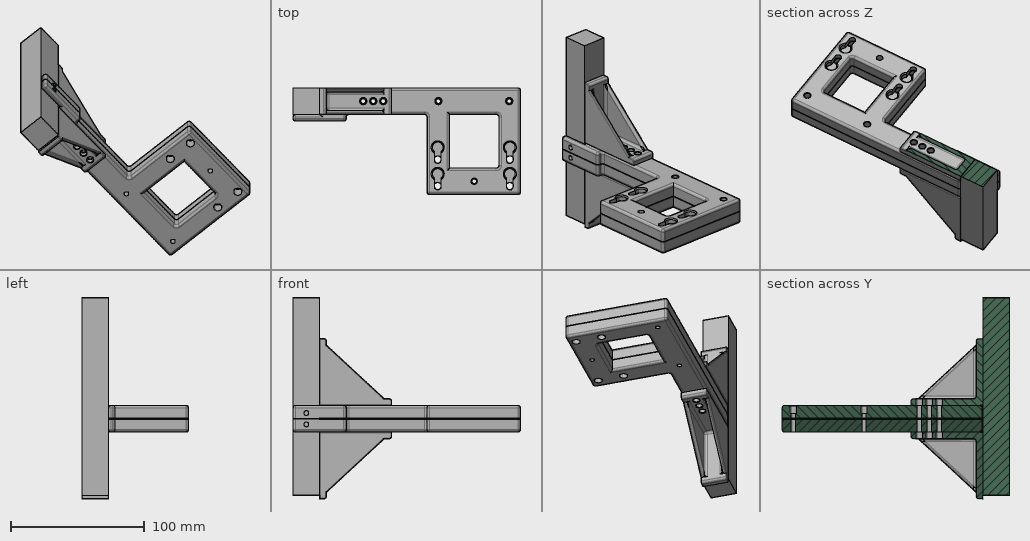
import cadquery as cq
import math

POST_SIDE = 20.0
POST_HEIGHT = 148.0
POST_BOTTOM = -57.3

ARM_WIDTH = POST_SIDE
ARM_CENTER_Y = -ARM_WIDTH / 2
ARM_LENGTH = 150.0
BRACKET_END = 170.34
ARM_START = BRACKET_END - ARM_LENGTH
HALF_THICKNESS = 10.0
EDGE_RADIUS = 2.0
PLATE_LENGTH = 40.0
PLATE_THICKNESS = 5.0
PLATE_HOLE_DIAMETER = 3.6
PLATE_HOLE_HEIGHT = 4.25
FRAME_WIDTH = 70.0
FRAME_DEPTH = 80.0
SPLIT_GAP = 0.4
FRAME_START = BRACKET_END - FRAME_WIDTH
FRAME_CENTER = BRACKET_END - FRAME_WIDTH / 2

WINDOW_START = FRAME_START + 17.0
WINDOW_WIDTH = 36.8
WINDOW_DEPTH = 40.0

SCREW_DIAMETER = 3.4
INSERT_DIAMETER = 4.7
INSERT_DEPTH = 6.0
INSERT_LEAD_IN = 0.35
REAR_SCREW_SPACING = 53.0
FRONT_SCREW_OFFSET = 0.3
FRONT_SCREW_Y = -70.0
FRONT_SCREW_POINT = (FRAME_CENTER + FRONT_SCREW_OFFSET, FRONT_SCREW_Y)

KEYHOLE_SPACING = 54.0
KEYHOLE_ROWS = (-44.6, -64.5)
KEYHOLE_HEAD_DIAMETER = 8.0
KEYHOLE_SLOT_WIDTH = 4.7
KEYHOLE_TRAVEL = 9.45
KEYHOLE_DEPTH = 4.5
KEYHOLE_CHAMFER = 0.9
KEYHOLE_ACCESS_DIAMETER = 6.0

GUSSET_HEIGHT = 50.0
GUSSET_LENGTH = 53.9
GUSSET_LEG = 5.0
GUSSET_SIDE = 3.0
GUSSET_SLOPE_START = 45.1
GUSSET_SLOPE_END = 48.3
GUSSET_INNER_RADIUS = 2.0
GUSSET_OUTER_RADIUS = 0.5
GUSSET_SCREW_DIAMETER = 3.6
GUSSET_SCREW_START = 52.6
GUSSET_SCREW_PITCH = 7.5
GUSSET_SCREW_COUNT = 3


def drill(diameter, bottom, top, points):
    """Vertical cylinders at the given points, for cutting."""
    return (
        cq.Workplane("XY", origin=(0, 0, bottom))
        .pushPoints(points)
        .circle(diameter / 2)
        .extrude(top - bottom)
    )


def countersink(diameter, top, depth, points):
    """Cones that widen by 45 degrees up to the given top, for cutting."""
    return (
        cq.Workplane("XY", origin=(0, 0, top))
        .pushPoints(points)
        .circle(diameter / 2 + depth)
        .extrude(-depth, taper=45)
    )


def insert_holes(bottom, top, points):
    """Insert holes with a chamfered mouth."""
    bore = drill(INSERT_DIAMETER, bottom, top, points)
    return bore.union(countersink(INSERT_DIAMETER, top, INSERT_LEAD_IN, points))


def keyhole(x, y):
    """Keyhole pocket in the top face, with an access hole below the end of its slot."""
    floor = HALF_THICKNESS - KEYHOLE_DEPTH
    end_y = y - KEYHOLE_TRAVEL
    head = drill(KEYHOLE_HEAD_DIAMETER, floor, HALF_THICKNESS, [(x, y)])
    mouth = countersink(KEYHOLE_HEAD_DIAMETER, HALF_THICKNESS, KEYHOLE_CHAMFER, [(x, y)])
    slot = (
        cq.Workplane("XY", origin=(x, (y + end_y) / 2, floor))
        .rect(KEYHOLE_SLOT_WIDTH, KEYHOLE_TRAVEL)
        .extrude(KEYHOLE_DEPTH)
    )
    slot_end = drill(KEYHOLE_SLOT_WIDTH, floor, HALF_THICKNESS, [(x, end_y)])
    access = drill(KEYHOLE_ACCESS_DIAMETER, 0, floor, [(x, end_y)])
    return head.union(mouth).union(slot).union(slot_end).union(access)


def bracket_blank():
    """Half of the bracket with its rounded edges and window; the corner behind the plate is sharp."""
    plate_front = -ARM_WIDTH - PLATE_THICKNESS
    outline = [
        (ARM_START, 0),
        (BRACKET_END, 0),
        (BRACKET_END, -FRAME_DEPTH),
        (FRAME_START, -FRAME_DEPTH),
        (FRAME_START, -ARM_WIDTH),
        (PLATE_LENGTH, -ARM_WIDTH),
        (PLATE_LENGTH, plate_front),
        (0, plate_front),
        (0, -ARM_WIDTH),
        (ARM_START, -ARM_WIDTH),
    ]
    sharp_corner = cq.NearestToPointSelector((ARM_START, -ARM_WIDTH, HALF_THICKNESS / 2))
    body = cq.Workplane("XY", origin=(0, 0, SPLIT_GAP / 2)).polyline(outline).close()
    body = body.extrude(HALF_THICKNESS - SPLIT_GAP / 2)
    upright_edges = cq.StringSyntaxSelector("|Z")
    body = body.edges(upright_edges - sharp_corner).fillet(EDGE_RADIUS)
    window = (
        cq.Workplane("XY", origin=(WINDOW_START, -ARM_WIDTH, 0))
        .rect(WINDOW_WIDTH, -WINDOW_DEPTH, centered=False)
        .extrude(HALF_THICKNESS)
        .edges("|Z and >X")
        .fillet(EDGE_RADIUS)
    )
    return body.cut(window).faces(">Z").edges().fillet(EDGE_RADIUS)


def plate_hole():
    """Screw hole through the clamp plate, in line with the middle of the post."""
    return (
        cq.Workplane("XZ", origin=(POST_SIDE / 2, -ARM_WIDTH, PLATE_HOLE_HEIGHT))
        .circle(PLATE_HOLE_DIAMETER / 2)
        .extrude(PLATE_THICKNESS)
    )


def rear_screw_points():
    """Pair of screws behind the window, on the centre line of the arm."""
    offset = REAR_SCREW_SPACING / 2
    return [(FRAME_CENTER + side * offset, ARM_CENTER_Y) for side in (-1, 1)]


def keyhole_points():
    """Centres of the keyhole heads."""
    offset = KEYHOLE_SPACING / 2
    return [(FRAME_CENTER + side * offset, y) for side in (-1, 1) for y in KEYHOLE_ROWS]


def gusset_screw_points():
    """Row of screws that passes through the arm and both gussets."""
    return [
        (GUSSET_SCREW_START + index * GUSSET_SCREW_PITCH, ARM_CENTER_Y)
        for index in range(GUSSET_SCREW_COUNT)
    ]


def drilled_half():
    """Half of the bracket with the holes that both halves share, built above the split."""
    screw_points = rear_screw_points() + [FRONT_SCREW_POINT]
    half = bracket_blank().cut(plate_hole())
    half = half.cut(drill(GUSSET_SCREW_DIAMETER, 0, HALF_THICKNESS, gusset_screw_points()))
    return half.cut(drill(SCREW_DIAMETER, 0, HALF_THICKNESS, screw_points))


def bracket_upper_half():
    """Upper half, with insert holes and keyholes in its top face."""
    insert_bottom = HALF_THICKNESS - INSERT_DEPTH
    half = drilled_half()
    half = half.cut(insert_holes(insert_bottom, HALF_THICKNESS, rear_screw_points()))
    half = half.cut(drill(INSERT_DIAMETER, insert_bottom, HALF_THICKNESS, [FRONT_SCREW_POINT]))
    for x, y in keyhole_points():
        half = half.cut(keyhole(x, y))
    return half


def bracket_lower_half():
    """Lower half, below the split, with the access holes running on through it."""
    access_points = [(x, y - KEYHOLE_TRAVEL) for x, y in keyhole_points()]
    half = drilled_half()
    half = half.cut(drill(KEYHOLE_ACCESS_DIAMETER, 0, HALF_THICKNESS, access_points))
    return half.mirror("XY")


def slope_rounding():
    """Material to cut away to round the inner edge of the rear side wall along its slope."""
    run = GUSSET_SLOPE_END - GUSSET_LEG
    drop = GUSSET_SLOPE_START - GUSSET_LEG
    along_slope = cq.Plane(
        origin=(POST_SIDE + GUSSET_LEG, 0, HALF_THICKNESS + GUSSET_SLOPE_START),
        xDir=(0, -1, 0),
        normal=(run, 0, -drop),
    )
    radius = GUSSET_INNER_RADIUS
    middle = radius * (1 - math.sqrt(0.5))
    round_start = GUSSET_SIDE - radius
    corner = (
        cq.Workplane(along_slope)
        .moveTo(round_start, 0)
        .lineTo(GUSSET_SIDE, 0)
        .lineTo(GUSSET_SIDE, radius)
        .threePointArc((GUSSET_SIDE - middle, middle), (round_start, 0))
        .close()
        .extrude(math.hypot(run, drop))
    )
    between_legs = (
        cq.Workplane("XY", origin=(POST_SIDE + GUSSET_LEG, 0, HALF_THICKNESS + GUSSET_LEG))
        .rect(GUSSET_LENGTH, -ARM_WIDTH, centered=False)
        .extrude(GUSSET_HEIGHT)
    )
    return corner.intersect(between_legs)


def gusset():
    """Gusset above the arm: post leg, arm leg and two sloping side walls."""
    profile = [
        (0, 0),
        (GUSSET_LENGTH, 0),
        (GUSSET_LENGTH, GUSSET_LEG),
        (GUSSET_SLOPE_END, GUSSET_LEG),
        (GUSSET_LEG, GUSSET_SLOPE_START),
        (GUSSET_LEG, GUSSET_HEIGHT),
        (0, GUSSET_HEIGHT),
    ]
    origin = (POST_SIDE, 0, HALF_THICKNESS)
    inner_width = ARM_WIDTH - 2 * GUSSET_SIDE
    body = cq.Workplane("XZ", origin=origin).polyline(profile).close().extrude(ARM_WIDTH)
    body = body.edges("(|Y and (>Z or >X)) and (not <X) and (not <Z)").fillet(EDGE_RADIUS)
    pocket = (
        cq.Workplane("XY", origin=(POST_SIDE + GUSSET_LEG, -GUSSET_SIDE, HALF_THICKNESS + GUSSET_LEG))
        .rect(2 * GUSSET_LENGTH, -inner_width, centered=False)
        .extrude(2 * GUSSET_HEIGHT)
        .edges("<Z or (|Z and <X)")
        .fillet(GUSSET_INNER_RADIUS)
    )
    body = body.cut(pocket)
    body = body.faces("<Y or >Y").edges().fillet(GUSSET_OUTER_RADIUS)
    rounding = slope_rounding()
    body = body.cut(rounding).cut(rounding.mirror("XZ", (0, ARM_CENTER_Y, 0)))
    return body.cut(insert_holes(HALF_THICKNESS, HALF_THICKNESS + GUSSET_LEG, gusset_screw_points()))


post = cq.Workplane("XY", origin=(0, 0, POST_BOTTOM)).rect(POST_SIDE, -POST_SIDE, centered=False)
post = post.extrude(POST_HEIGHT)
upper_half = bracket_upper_half()
lower_half = bracket_lower_half()
upper_gusset = gusset()
lower_gusset = upper_gusset.mirror("XY")

result = cq.Compound.makeCompound(
    [post.val(), upper_half.val(), lower_half.val(), upper_gusset.val(), lower_gusset.val()]
)